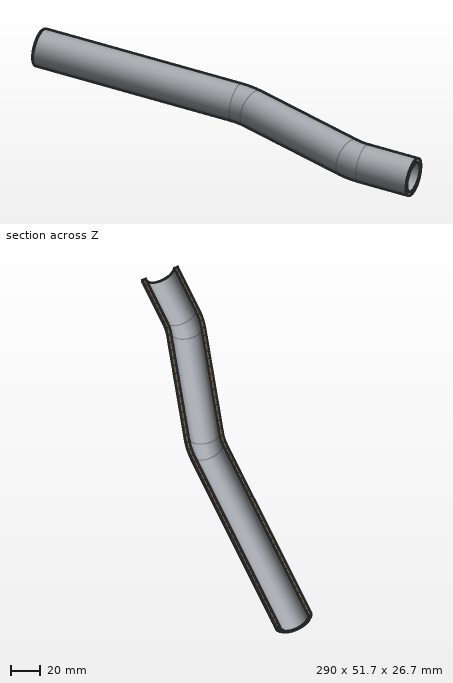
import cadquery as cq
import math

total_length = 290.0
offset = 25.0
outer_diameter = 26.7
bore_diameter = 21.0
inlet_length = 147.3
bend_angle = 15.0
bend_radius = 47.0
chamfer_size = 1.02

angle = math.radians(bend_angle)
bend_advance = bend_radius * math.sin(angle)
bend_drop = bend_radius * (1 - math.cos(angle))
middle_drop = offset - 2 * bend_drop
middle_advance = middle_drop / math.tan(angle)

first_bend_end = (inlet_length + bend_advance, -bend_drop)
second_bend_start = (first_bend_end[0] + middle_advance, first_bend_end[1] - middle_drop)
second_bend_end = (second_bend_start[0] + bend_advance, -offset)

centreline = (
    cq.Workplane("XY")
    .lineTo(inlet_length, 0)
    .tangentArcPoint(first_bend_end, relative=False)
    .lineTo(*second_bend_start)
    .tangentArcPoint(second_bend_end, relative=False)
    .lineTo(total_length, -offset)
)


tube = (
    cq.Workplane("YZ")
    .circle(outer_diameter / 2)
    .circle(bore_diameter / 2)
    .sweep(centreline)
)

inlet_rim = tube.faces("<X").edges(cq.selectors.RadiusNthSelector(-1))
result = inlet_rim.chamfer(chamfer_size)